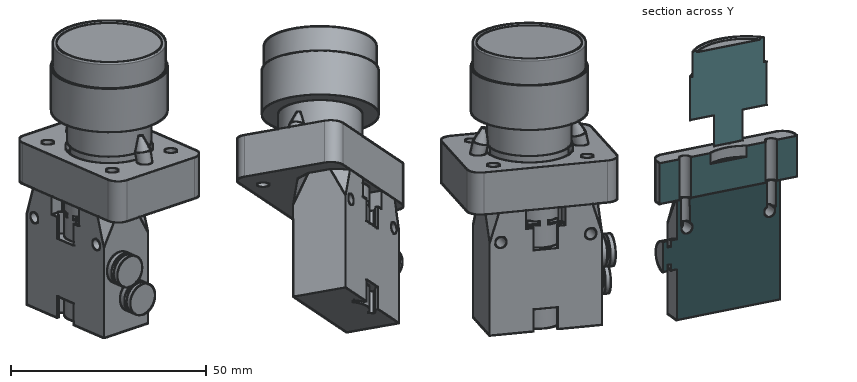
import cadquery as cq
import math

plate_height = 11.4
block_height = 33.0
shoulder_level = 13.0
bezel_bottom = 21.5
bezel_top = 33.5
head_top = 40.5

bezel_diameter = 30.0
cap_diameter = 29.0
barrel_diameter = 21.7
neck_diameter = 20.0
rim_radius = 0.5

plate_length = 40.0
plate_width = 30.0
plate_corner_radius = 3.5
recess_diameter = 22.5
recess_floor = plate_height - 3.0
screw_hole_diameter = 3.25
screw_hole_x = 12.5
screw_hole_y = 10.0

pin_diameter = 4.0
pin_tip_diameter = 1.1
pin_straight_length = 2.9
pin_cone_length = 4.0
pin_base_x = 13.65
pin_lean = 13.0

block_length = 30.0
block_depth = 15.1
block_front = -plate_width / 2
block_back = block_front + block_depth
corner_cut_x = 2.5
corner_cut_y = 4.4
corner_cut_z = 7.9
cross_hole_diameter = 3.0
cross_hole_x = 12.0
cross_hole_level = -8.0
pilot_diameter = 2.45
pilot_depth = 7.0

core_radius = 6.0
core_center_y = block_front + 7.5
channel_radius = 7.5
channel_end_angle = math.radians(48)
recess_back = block_front + 3.5
wide_recess_width = 10.5
wide_recess_bottom = -5.0
slot_width = 6.5
upper_slot_bottom = -11.0
lower_slot_height = 6.0
notch_inner_x = 1.1
notch_outer_x = 4.0
notch_height = 1.1
notch_back_y = core_center_y - math.sqrt(core_radius**2 - notch_outer_x**2)

terminal_diameter = 8.5
terminal_neck_diameter = 5.0
terminal_collar = 1.7
terminal_gap = 0.9
terminal_head = 1.4
terminal_upper_level = -14.75
terminal_pitch = 8.9
terminal_middle_y = core_center_y
terminal_offset_y = 2.2


def make_head():
    """Turned head: neck, barrel, bezel and a cap whose rim is fully rounded around a sunken face."""
    cap_radius = cap_diameter / 2
    face_level = head_top - rim_radius
    profile = (
        cq.Workplane("XZ")
        .moveTo(0, recess_floor)
        .lineTo(neck_diameter / 2, recess_floor)
        .lineTo(neck_diameter / 2, shoulder_level)
        .lineTo(barrel_diameter / 2, shoulder_level)
        .lineTo(barrel_diameter / 2, bezel_bottom)
        .lineTo(bezel_diameter / 2, bezel_bottom)
        .lineTo(bezel_diameter / 2, bezel_top)
        .lineTo(cap_radius, bezel_top)
        .lineTo(cap_radius, face_level)
        .threePointArc((cap_radius - rim_radius, head_top), (cap_radius - 2 * rim_radius, face_level))
        .lineTo(0, face_level)
        .close()
    )
    return profile.revolve(360, (0, 0, 0), (0, 1, 0))


def make_pin(side):
    """Pointed pin leaning towards the head, rooted inside the plate; side is -1 or +1."""
    root = pin_diameter / 2
    pin = (
        cq.Workplane("XZ")
        .moveTo(0, -root)
        .lineTo(pin_diameter / 2, -root)
        .lineTo(pin_diameter / 2, pin_straight_length)
        .lineTo(pin_tip_diameter / 2, pin_straight_length + pin_cone_length)
        .lineTo(0, pin_straight_length + pin_cone_length)
        .close()
        .revolve(360, (0, 0, 0), (0, 1, 0))
    )
    pin = pin.rotate((0, 0, 0), (0, 1, 0), -side * pin_lean)
    return pin.translate((side * pin_base_x, 0, plate_height))


def make_plate():
    """Rounded plate with a round recess that seats the head, four screw holes and two pins."""
    plate = (
        cq.Workplane("XY")
        .rect(plate_length, plate_width)
        .extrude(plate_height)
        .edges("|Z")
        .fillet(plate_corner_radius)
    )
    for side in (-1, 1):
        plate = plate.union(make_pin(side))
    head_recess = (
        cq.Workplane("XY", origin=(0, 0, recess_floor))
        .circle(recess_diameter / 2)
        .extrude(plate_height - recess_floor)
    )
    screw_holes = (
        cq.Workplane("XY")
        .rect(2 * screw_hole_x, 2 * screw_hole_y, forConstruction=True)
        .vertices()
        .circle(screw_hole_diameter / 2)
        .extrude(plate_height)
    )
    return plate.cut(head_recess).cut(screw_holes)


def box_between(x_min, x_max, y_min, y_max, z_min, z_max):
    return cq.Workplane("XY").box(
        x_max - x_min, y_max - y_min, z_max - z_min, centered=False
    ).translate((x_min, y_min, z_min))


def make_corner_cut(side_x, side_y):
    """Wedge that bevels one top corner of the block, tapering to a point down its upright edge."""
    corner_x = side_x * block_length / 2
    corner_y = block_back if side_y > 0 else block_front
    base = [
        cq.Vector(corner_x, corner_y, 0),
        cq.Vector(corner_x - side_x * corner_cut_x, corner_y, 0),
        cq.Vector(corner_x, corner_y - side_y * corner_cut_y, 0),
    ]
    tip = cq.Vector(corner_x, corner_y, -corner_cut_z)
    faces = []
    for points in (base, [base[0], base[1], tip], [base[1], base[2], tip], [base[2], base[0], tip]):
        faces.append(cq.Face.makeFromWires(cq.Wire.makePolygon(points, close=True)))
    return cq.Workplane(cq.Solid.makeSolid(cq.Shell.makeShell(faces)))


def make_slot(bottom, top):
    """Slot through the front skin that opens behind it into a channel curving around the core."""
    half_slot = slot_width / 2
    slot = box_between(-half_slot, half_slot, block_front, recess_back, bottom, top)
    end_x = channel_radius * math.sin(channel_end_angle)
    end_y = -channel_radius * math.cos(channel_end_angle)
    channel = (
        cq.Workplane("XY", origin=(0, core_center_y, bottom))
        .lineTo(-end_x, end_y)
        .threePointArc((0, -channel_radius), (end_x, end_y))
        .close()
        .extrude(top - bottom)
    )
    return slot.union(channel)


def make_front_recesses():
    """Wide recess and slot at the top, slot at the bottom, all leaving the round core standing."""
    half_wide = wide_recess_width / 2
    recesses = box_between(-half_wide, half_wide, block_front, recess_back, wide_recess_bottom, 0)
    recesses = recesses.union(make_slot(upper_slot_bottom, wide_recess_bottom))
    recesses = recesses.union(make_slot(-block_height, lower_slot_height - block_height))
    core = (
        cq.Workplane("XY", origin=(0, core_center_y, -block_height))
        .circle(core_radius)
        .extrude(block_height)
    )
    recesses = recesses.cut(core)
    notch_top = wide_recess_bottom + notch_height
    for x_min in (-notch_outer_x, notch_inner_x):
        x_max = x_min + notch_outer_x - notch_inner_x
        notch = box_between(x_min, x_max, block_front, notch_back_y, wide_recess_bottom, notch_top)
        recesses = recesses.union(notch)
    return recesses


def make_terminal(center_y, level):
    """Terminal screw: collar against the block, narrower neck, outer head."""
    terminal = cq.Workplane("YZ", origin=(block_length / 2, center_y, level))
    terminal = terminal.circle(terminal_diameter / 2).extrude(terminal_collar)
    terminal = terminal.faces(">X").workplane().circle(terminal_neck_diameter / 2).extrude(terminal_gap)
    return terminal.faces(">X").workplane().circle(terminal_diameter / 2).extrude(terminal_head)


def make_block():
    """Contact block with beveled top corners, holes, front recesses and terminal screws."""
    half_length = block_length / 2
    block = box_between(
        -half_length, half_length, block_front, block_back, -block_height, 0
    )
    for side_x in (-1, 1):
        for side_y in (-1, 1):
            block = block.cut(make_corner_cut(side_x, side_y))
        cross_hole = (
            cq.Workplane("XZ", origin=(side_x * cross_hole_x, block_front, cross_hole_level))
            .circle(cross_hole_diameter / 2)
            .extrude(-block_depth)
        )
        pilot_hole = (
            cq.Workplane("XY", origin=(side_x * screw_hole_x, -screw_hole_y, -pilot_depth))
            .circle(pilot_diameter / 2)
            .extrude(pilot_depth)
        )
        block = block.cut(cross_hole).cut(pilot_hole)
    block = block.cut(make_front_recesses())
    for index in range(2):
        offset_y = terminal_offset_y * (2 * index - 1)
        level = terminal_upper_level - index * terminal_pitch
        block = block.union(make_terminal(terminal_middle_y + offset_y, level))
    return block


head = make_head()
plate = make_plate()
block = make_block()

result = cq.Compound.makeCompound([head.val(), plate.val(), block.val()])